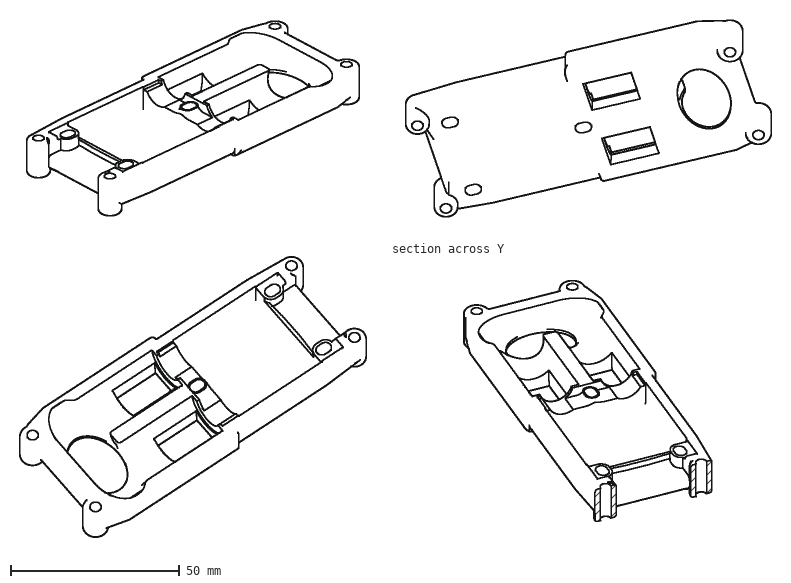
import cadquery as cq
import math


LENGTH = 103.8
WIDE_HALF = 21.43
NARROW_HALF = 19.9
STEP_Y = -1.3
TAPER_BACK_Y = 39.8
TAPER_FRONT_Y = -35.1
BACK_Y = 48.3
FRONT_Y = -47.4
BODY_HEIGHT = 10.0
TOP_ROUND = 1.0
SIDE_BOTTOM_ROUND = 2.7
END_BOTTOM_ROUND = 2.0
STEP_OUTER_ROUND = 1.1
STEP_INNER_ROUND = 0.3

BOSS_X = 15.5
BACK_BOSS_R = 3.8
FRONT_BOSS_R = 3.5
BACK_BOSS_Y = LENGTH / 2 - BACK_BOSS_R
FRONT_BOSS_Y = FRONT_BOSS_R - LENGTH / 2
BOSS_CORNER_ROUND = 0.6
BOSS_HEIGHT = 12.0
SCREW_HOLE_R = 1.7

CHANNEL_X = 9.9
CHANNEL_R = 7.6
CHANNEL_AXIS_Z = 0.9
CHANNEL_FRONT_Y = 2.2
RIB_BACK_Y = 29.5
RIB_TRIM_HALF_WIDTH = 3.1
RIB_TRIM_DEPTH = 3.1
RIB_CORNER_ROUND = 0.8

THROAT_Y = 35.7
THROAT_R = 7.7
THROAT_HALF_WIDTH = THROAT_R * math.sqrt(2)
THROAT_RIM_ROUND = 1.6
THROAT_APEX_DEPTH = CHANNEL_X - CHANNEL_AXIS_Z

WINDOW_X = 10.2
WINDOW_WIDTH = 9.8
WINDOW_FRONT_Y = 2.6
WINDOW_BACK_Y = 17.4
WINDOW_BACK_LEAN = 0.9
WINDOW_SIDE_LEAN = 0.3

SHELF_DEPTH = 3.1
SHELF_HALF_WIDTH = 16.1
SHELF_BACK_Y = 1.2
LEDGE_DEPTH = 1.0
SADDLE_R = 5.4
SADDLE_AXIS_Z = 1.6

POCKET_HALF_WIDTH = 16.3
POCKET_BACK_Y = -4.9
POCKET_FRONT_Y = -35.7
POCKET_DEPTH = 7.5
BASE_ROUND = 0.4

RIDGE_DEPTH = 3.1
RIDGE_FRONT_Y = -37.0
RIDGE_BOW = 0.5
SILL_DEPTH = 5.0
SILL_ROUND = 1.1
GAP_HALF_WIDTH = 12.0
RECESS_FRONT_Y = -43.7
RECESS_DEPTH = 1.0

SLOT_WIDTH = 3.5
SLOT_LENGTH = 4.9
POST_X = 12.6
POST_Y = -39.1
POST_WALL = 0.9
CENTER_POST_Y = -1.6
CENTER_POST_DEPTH = 1.1
CENTER_POST_WALL = 0.4
CENTER_POST_FLARE = 1.8

OVER = 5.2
NEAR = 0.1
SIDES = (-1, 1)


def block(x0, x1, y0, y1, z0, z1):
    return cq.Workplane("XY").box(x1 - x0, y1 - y0, z1 - z0, centered=False).translate((x0, y0, z0))


def slab(side_points):
    """Mirrored slab whose right side follows the points from front to back."""
    half = [(0, side_points[0][1])] + side_points + [(0, side_points[-1][1])]
    return cq.Workplane("XY", origin=(0, 0, -BODY_HEIGHT)).polyline(half).mirrorY().extrude(BODY_HEIGHT)


def wide_slab(front_y):
    boss_side = (BOSS_X + BACK_BOSS_R, BACK_BOSS_Y)
    return slab([(WIDE_HALF, front_y), (WIDE_HALF, TAPER_BACK_Y), boss_side, (BOSS_X, BACK_Y)])


def narrow_slab():
    boss_side = (BOSS_X + FRONT_BOSS_R, FRONT_BOSS_Y)
    return slab([(BOSS_X, FRONT_Y), boss_side, (NARROW_HALF, TAPER_FRONT_Y), (NARROW_HALF, -STEP_Y)])


def between(x0, x1, y0, y1, z0, z1):
    """Selector for edges whose middles lie in a box, widened slightly to catch those on its faces."""
    low = (x0 - NEAR, y0 - NEAR, z0 - NEAR)
    high = (x1 + NEAR, y1 + NEAR, z1 + NEAR)
    return cq.selectors.BoxSelector(low, high)


def between_both(x0, x1, y0, y1, z0, z1):
    """The same for a box and its mirror image across the middle plane."""
    return between(x0, x1, y0, y1, z0, z1) + between(-x1, -x0, y0, y1, z0, z1)


def around(x, y):
    """Selector for upright edges near a point and its mirror image."""
    return between_both(x, x, y, y, -BODY_HEIGHT, 0)


def round_bottom(part, outer_end):
    """Round a slab's lower edges along its sides and along the middle of its outer end."""
    past_boss_middle = BOSS_X + 0.6 * BACK_BOSS_R
    side_edges = between_both(past_boss_middle, WIDE_HALF, -LENGTH, LENGTH, -BODY_HEIGHT, 0)
    part = part.faces("<Z").edges("not |X").edges(side_edges).fillet(SIDE_BOTTOM_ROUND)
    return part.faces("<Z").edges("|X").edges(outer_end).fillet(END_BOTTOM_ROUND)


def body():
    """Slab with a rounded step in its sides and rounded lower edges."""
    outline = wide_slab(STEP_Y).union(narrow_slab())
    outline = outline.edges("|Z").edges(around(WIDE_HALF, STEP_Y)).fillet(STEP_OUTER_ROUND)
    outline = outline.edges("|Z").edges(around(NARROW_HALF, STEP_Y)).fillet(STEP_INNER_ROUND)
    wide = round_bottom(wide_slab(STEP_Y - STEP_INNER_ROUND), ">Y")
    narrow = round_bottom(narrow_slab(), "<Y")
    return wide.union(narrow).intersect(outline)


def boss_posts(y, radius):
    posts = cq.Workplane("XY", origin=(0, y, -BOSS_HEIGHT)).pushPoints([(-BOSS_X, 0), (BOSS_X, 0)])
    return posts.circle(radius).extrude(BOSS_HEIGHT).faces("<Z").edges().fillet(TOP_ROUND)


def bosses():
    return boss_posts(BACK_BOSS_Y, BACK_BOSS_R).union(boss_posts(FRONT_BOSS_Y, FRONT_BOSS_R))


def screw_holes():
    centers = [(s * BOSS_X, y) for s in SIDES for y in (FRONT_BOSS_Y, BACK_BOSS_Y)]
    holes = cq.Workplane("XY", origin=(0, 0, -BOSS_HEIGHT)).pushPoints(centers)
    return holes.circle(SCREW_HOLE_R).extrude(BOSS_HEIGHT)


def gap(depth, back_y):
    """Opening through the front wall between the front bosses."""
    return block(-GAP_HALF_WIDTH, GAP_HALF_WIDTH, FRONT_Y - OVER, back_y, -depth, OVER)


def along_y(x, z, radius, y0, y1):
    return cq.Workplane("XZ", origin=(x, y0, z)).circle(radius).extrude(y0 - y1)


def throat():
    """Two mirrored leaning cylinders, the flat back between them and the hole below them."""
    apex = cq.Vector(0, THROAT_Y, -THROAT_APEX_DEPTH)
    above_apex = block(-WIDE_HALF * 2, WIDE_HALF * 2, 0, BACK_Y, -THROAT_APEX_DEPTH, OVER)
    hole = cq.Workplane("XY", origin=(0, THROAT_Y, -BODY_HEIGHT)).ellipse(THROAT_HALF_WIDTH, THROAT_R)
    cutter = hole.extrude(BODY_HEIGHT - THROAT_APEX_DEPTH)
    reach = 2 * BODY_HEIGHT
    for side in SIDES:
        lean = cq.Vector(side, 0, 1).normalized()
        cylinder = cq.Solid.makeCylinder(THROAT_R, 2 * reach, apex - lean * reach, lean)
        cutter = cutter.union(cq.Workplane(cylinder).intersect(above_apex))
    wedge = [(0, -THROAT_APEX_DEPTH), (THROAT_APEX_DEPTH, 0), (-THROAT_APEX_DEPTH, 0)]
    flat_back = cq.Workplane("XZ", origin=(0, THROAT_Y, 0)).polyline(wedge).close().extrude(-THROAT_R)
    rib_end = block(-RIB_TRIM_HALF_WIDTH, RIB_TRIM_HALF_WIDTH, RIB_BACK_Y, THROAT_Y, -RIB_TRIM_DEPTH, OVER)
    return cutter.union(flat_back).union(rib_end)


def channel(side):
    return along_y(side * CHANNEL_X, CHANNEL_AXIS_Z, CHANNEL_R, CHANNEL_FRONT_Y, THROAT_Y)


def window(side):
    """Opening in a channel floor whose side and back walls lean outward."""
    lean_top = CHANNEL_AXIS_Z - CHANNEL_R
    length = WINDOW_BACK_Y - WINDOW_FRONT_Y
    wide = WINDOW_WIDTH + 2 * WINDOW_SIDE_LEAN
    lower = cq.Workplane("XY", origin=(side * WINDOW_X, WINDOW_FRONT_Y + length / 2, -BODY_HEIGHT))
    lean = (
        lower.rect(WINDOW_WIDTH, length)
        .workplane(offset=lean_top + BODY_HEIGHT)
        .center(0, WINDOW_BACK_LEAN / 2)
        .rect(wide, length + WINDOW_BACK_LEAN)
        .loft()
    )
    return lean.union(lean.faces(">Z").wires().toPending().extrude(-lean_top, combine=False))


def shelf():
    """Flat floor between two saddles, with narrow ledges outside them."""
    y0 = POCKET_BACK_Y
    cutter = block(-SHELF_HALF_WIDTH, SHELF_HALF_WIDTH, y0, SHELF_BACK_Y, -LEDGE_DEPTH, OVER)
    cutter = cutter.union(block(-CHANNEL_X, CHANNEL_X, y0, SHELF_BACK_Y, -SHELF_DEPTH, OVER))
    for side in SIDES:
        cutter = cutter.union(along_y(side * CHANNEL_X, SADDLE_AXIS_Z, SADDLE_R, y0, CHANNEL_FRONT_Y))
    return cutter


def pocket():
    half = POCKET_HALF_WIDTH
    cutter = block(-half, half, POCKET_FRONT_Y, POCKET_BACK_Y, -POCKET_DEPTH, OVER)
    return cutter.faces("<Z").edges().fillet(BASE_ROUND)


def slot(x, y, width, length, top_z, height):
    base = cq.Workplane("XY", origin=(x, y, top_z))
    return base.slot2D(length, width, 90).extrude(-height)


def center_post():
    """Slotted post rising from the shelf on a hollow flare, trimmed to the shelf."""
    half = SHELF_HALF_WIDTH
    plate = block(-half, half, POCKET_BACK_Y - half, SHELF_BACK_Y + half, -SHELF_DEPTH - 1, -SHELF_DEPTH)
    wall = 2 * CENTER_POST_WALL
    rise = SHELF_DEPTH - CENTER_POST_DEPTH
    stem = slot(0, CENTER_POST_Y, SLOT_WIDTH + wall, SLOT_LENGTH + wall, -CENTER_POST_DEPTH, rise)
    flared = plate.union(stem)
    foot = between(-CHANNEL_X, CHANNEL_X, POCKET_BACK_Y, SHELF_BACK_Y, -SHELF_DEPTH, -SHELF_DEPTH)
    flared = flared.edges(foot).fillet(CENTER_POST_FLARE)
    reach = SLOT_WIDTH / 2 + CENTER_POST_WALL + CENTER_POST_FLARE
    return flared.intersect(block(-reach, reach, POCKET_BACK_Y, SHELF_BACK_Y, -SHELF_DEPTH - 1, 0))


def recess(side):
    """Shallow step between a side wall and a front post, reaching into the gap and pocket."""
    x0, x1 = sorted((side * SHELF_HALF_WIDTH, side * (GAP_HALF_WIDTH - BASE_ROUND)))
    cutter = block(x0, x1, RECESS_FRONT_Y, POCKET_FRONT_Y + BASE_ROUND, -RECESS_DEPTH, OVER)
    return cutter.faces("<Z").edges().fillet(BASE_ROUND)


def sill():
    """Lowered floor of the front opening; its back edge is the bowed ridge face."""
    half = GAP_HALF_WIDTH
    ridge_end_y = RIDGE_FRONT_Y + RIDGE_BOW
    outline = (
        cq.Workplane("XY", origin=(0, 0, -SILL_DEPTH))
        .moveTo(-half, ridge_end_y)
        .threePointArc((0, RIDGE_FRONT_Y), (half, ridge_end_y))
        .lineTo(half, FRONT_Y - OVER)
        .lineTo(-half, FRONT_Y - OVER)
        .close()
    )
    return outline.extrude(SILL_DEPTH + OVER)


def post(x, y, depth, bottom):
    wall = 2 * POST_WALL
    return slot(x, y, SLOT_WIDTH + wall, SLOT_LENGTH + wall, -depth, bottom - depth)


def shell():
    """Rounded outer shape with its bosses and open front."""
    part = body().cut(gap(RIDGE_DEPTH, POCKET_FRONT_Y + OVER)).cut(sill())
    half = GAP_HALF_WIDTH
    sill_edge = between(-half, half, FRONT_Y, FRONT_Y, -SILL_DEPTH, -SILL_DEPTH)
    part = part.edges("|X").edges(sill_edge).fillet(SILL_ROUND)
    part = part.union(bosses())
    part = part.edges("|Z").edges(around(BOSS_X - BACK_BOSS_R, BACK_Y)).fillet(BOSS_CORNER_ROUND)
    return part.faces(">Z").edges().fillet(TOP_ROUND)


def cut_cell_bay(part):
    """Channels and throat, with the edges between them rounded."""
    for side in SIDES:
        part = part.cut(channel(side))
    part = part.cut(throat())
    rib_half = RIB_TRIM_HALF_WIDTH
    channel_side = CHANNEL_X + CHANNEL_R
    rims = between_both(rib_half, channel_side, RIB_BACK_Y, THROAT_Y, -CHANNEL_R, -SHELF_DEPTH)
    part = part.edges(rims).fillet(THROAT_RIM_ROUND)
    rib_corners = between_both(RIB_CORNER_ROUND, rib_half, RIB_BACK_Y, RIB_BACK_Y, -RIB_TRIM_DEPTH, -1)
    part = part.edges(rib_corners).fillet(RIB_CORNER_ROUND)
    for side in SIDES:
        part = part.cut(window(side))
    return part


tray = shell().cut(pocket()).cut(shelf())
for side in SIDES:
    tray = tray.cut(recess(side))
tray = cut_cell_bay(tray)

tray = tray.union(center_post())
for side in SIDES:
    tray = tray.union(post(side * POST_X, POST_Y, RECESS_DEPTH, POCKET_DEPTH))

tray = tray.cut(screw_holes())
for x, y in [(0, CENTER_POST_Y), (-POST_X, POST_Y), (POST_X, POST_Y)]:
    tray = tray.cut(slot(x, y, SLOT_WIDTH, SLOT_LENGTH, 0, BODY_HEIGHT))
result = tray